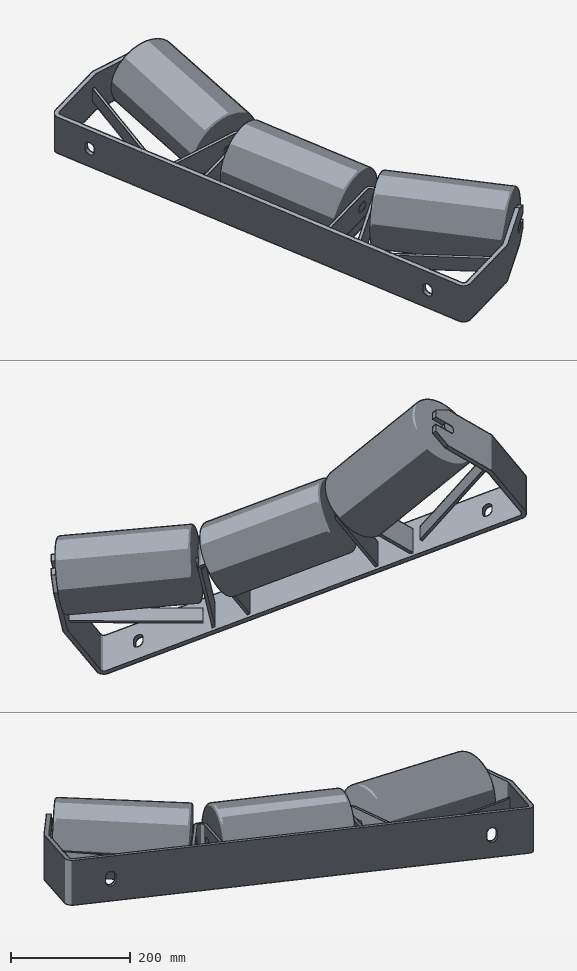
import cadquery as cq
import math

FRAME_LENGTH = 820.0
BAR_HEIGHT = 80.0
BAR_THICKNESS = 8.0
BEND_RADIUS = 14.0
ARM_BEND_Y = 126.0
ARM_TIP_Y = 244.0
TIP_WIDTH = 47.0
TIP_CHAMFER_LENGTH = 27.0
SLOT_WIDTH = 16.0
MOUNT_HOLE_X = 334.0
MOUNT_HOLE_WIDTH = 18.0
MOUNT_HOLE_HEIGHT = 26.0

TROUGH_ANGLE = 20.0
ROLLER_DIAMETER = 133.0
ROLLER_LENGTH = 230.5
ROLLER_FILLET = 5.0
SHAFT_DIAMETER = 20.5
SHAFT_FLAT_CLEARANCE = 0.65
SHAFT_FLATS = SLOT_WIDTH - SHAFT_FLAT_CLEARANCE
AXIS_DROP = 7.0
MIDDLE_AXIS_Y = 125.5
SIDE_ROLLER_X = 258.0
SIDE_ROLLER_Y = 174.0

HANGER_THICKNESS = 5.3
HANGER_BEND_RADIUS = 11.5
HANGER_X = 120.0
HANGER_TOP_Y = 153.0
HANGER_HEIGHT = 53.0

STRUT_THICKNESS = 5.0
STRUT_HEIGHT = 29.5
STRUT_ANGLE = 29.5
STRUT_FOOT_X = 210.0

SIDES = (-1, 1)
LEAN_SIN = math.sin(math.radians(TROUGH_ANGLE))
LEAN_COS = math.cos(math.radians(TROUGH_ANGLE))
LEAN_TAN = math.tan(math.radians(TROUGH_ANGLE))
HALF_LEAN_TAN = math.tan(math.radians(TROUGH_ANGLE / 2))

side_x = -FRAME_LENGTH / 2
arm_foot_y = ARM_BEND_Y + BEND_RADIUS * HALF_LEAN_TAN
arm_tip_x = side_x + (ARM_TIP_Y - arm_foot_y) * LEAN_TAN

fold_x = -HANGER_X - HANGER_BEND_RADIUS
fold_y = HANGER_TOP_Y - HANGER_BEND_RADIUS


def distance_along_side_axis(x, y):
    """Distance of a point on the -X side from the middle of the side roller, outwards along its axis."""
    return (SIDE_ROLLER_X + x) * -LEAN_COS + (y - SIDE_ROLLER_Y) * LEAN_SIN


def on_side(body, side):
    """Bodies are made for the -X side; the +X one is the mirror image."""
    return body if side < 0 else body.mirror("YZ")


def make_roller(left_reach, right_reach):
    """Roller along X, centred on the origin; its shaft reaches the given distances to -X and +X."""
    left_end = cq.Workplane("YZ", origin=(-ROLLER_LENGTH / 2, 0, 0))
    barrel = left_end.circle(ROLLER_DIAMETER / 2).extrude(ROLLER_LENGTH)
    barrel = barrel.faces("<X or >X").edges().fillet(ROLLER_FILLET)
    shaft_length = left_reach + right_reach
    shaft = cq.Workplane("YZ").workplane(offset=-left_reach).circle(SHAFT_DIAMETER / 2).extrude(shaft_length)
    between_flats = cq.Workplane("XY").box(2 * shaft_length, 2 * SHAFT_DIAMETER, SHAFT_FLATS)
    return barrel.union(shaft.intersect(between_flats))


def make_middle_roller():
    reach = HANGER_X + HANGER_THICKNESS
    return make_roller(reach, reach).translate((0, MIDDLE_AXIS_Y, -AXIS_DROP))


def make_side_roller():
    """Roller of the -X side, sloping down from the arm slot to the hanger."""
    arm_reach = distance_along_side_axis(side_x, arm_foot_y)
    hanger_reach = HANGER_THICKNESS - HANGER_BEND_RADIUS - distance_along_side_axis(fold_x, fold_y)
    slope = math.degrees(math.asin(AXIS_DROP / (arm_reach + hanger_reach)))
    roller = make_roller(arm_reach, hanger_reach)
    shaft_end = (-arm_reach, 0, 0)
    roller = roller.rotate(shaft_end, (-arm_reach, 1, 0), slope)
    roller = roller.rotate((0, 0, 0), (0, 0, 1), -TROUGH_ANGLE)
    return roller.translate((-SIDE_ROLLER_X, SIDE_ROLLER_Y, 0))


def make_bent_bar():
    outer_bends = [(side_x, 0), (side_x, arm_foot_y)]
    inner_x = side_x + BAR_THICKNESS
    inner_bends = [(inner_x, BAR_THICKNESS), (inner_x, arm_foot_y - BAR_THICKNESS * HALF_LEAN_TAN)]
    outer_tip = (arm_tip_x, ARM_TIP_Y)
    inner_tip = (arm_tip_x + BAR_THICKNESS * LEAN_COS, ARM_TIP_Y - BAR_THICKNESS * LEAN_SIN)
    half = [*outer_bends, outer_tip, inner_tip, *reversed(inner_bends)]
    other_half = [(-x, y) for x, y in reversed(half)]
    bar = cq.Workplane("XY").polyline(half + other_half).close().extrude(BAR_HEIGHT / 2, both=True)
    for bends, radius in ((outer_bends, BEND_RADIUS), (inner_bends, BEND_RADIUS - BAR_THICKNESS)):
        for x, y in bends:
            for side in SIDES:
                bend_edge = cq.selectors.NearestToPointSelector((-side * x, y, 0))
                bar = bar.edges("|Z").edges(bend_edge).fillet(radius)
    return bar


def make_arm_cutter():
    """Waste at the -X arm tip: two corner chamfers and the open shaft slot."""
    arm_plane = cq.Plane(
        origin=(arm_tip_x, ARM_TIP_Y, 0),
        xDir=(LEAN_SIN, LEAN_COS, 0),
        normal=(-LEAN_COS, LEAN_SIN, 0),
    )
    depth = 2 * BAR_THICKNESS
    half_height = BAR_HEIGHT / 2
    chamfer = (
        cq.Workplane(arm_plane)
        .polyline([(-TIP_CHAMFER_LENGTH, half_height), (0, half_height), (0, TIP_WIDTH / 2)])
        .close()
        .extrude(depth, both=True)
    )
    axis_y_at_arm = SIDE_ROLLER_Y + LEAN_SIN * distance_along_side_axis(side_x, arm_foot_y)
    flat_half_length = math.sqrt(SHAFT_DIAMETER**2 - SLOT_WIDTH**2) / 2
    axis_depth = (ARM_TIP_Y - axis_y_at_arm) / LEAN_COS
    straight_depth = axis_depth + flat_half_length
    full_depth = axis_depth + SHAFT_DIAMETER / 2
    slot = (
        cq.Workplane(arm_plane)
        .moveTo(0, SLOT_WIDTH / 2)
        .lineTo(-straight_depth, SLOT_WIDTH / 2)
        .threePointArc((-full_depth, 0), (-straight_depth, -SLOT_WIDTH / 2))
        .lineTo(0, -SLOT_WIDTH / 2)
        .close()
        .extrude(depth, both=True)
    )
    return slot.union(chamfer).union(chamfer.mirror("XY"))


def make_mount_hole():
    return (
        cq.Workplane("XZ")
        .center(-MOUNT_HOLE_X, 0)
        .slot2D(MOUNT_HOLE_HEIGHT, MOUNT_HOLE_WIDTH, 90)
        .extrude(-BAR_THICKNESS)
    )


def make_frame(side_roller):
    frame = make_bent_bar()
    cutters = [make_arm_cutter(), make_mount_hole(), side_roller]
    for cutter in cutters:
        for side in SIDES:
            frame = frame.cut(on_side(cutter, side))
    return frame


def make_hanger(middle_roller, side_roller):
    """Folded plate of the -X side: an upright leg and a leg square to the side roller."""

    def fold_end(radius):
        return (fold_x - radius * LEAN_COS, fold_y + radius * LEAN_SIN)

    def leg_foot(radius):
        x, y = fold_end(radius)
        return (x - (y - BAR_THICKNESS) * LEAN_TAN, BAR_THICKNESS)

    outer = HANGER_BEND_RADIUS
    inner = outer - HANGER_THICKNESS
    plate = (
        cq.Workplane("XY", origin=(0, 0, -AXIS_DROP))
        .moveTo(fold_x + outer, BAR_THICKNESS)
        .lineTo(fold_x + outer, fold_y)
        .threePointArc((fold_x, fold_y + outer), fold_end(outer))
        .lineTo(*leg_foot(outer))
        .lineTo(*leg_foot(inner))
        .lineTo(*fold_end(inner))
        .threePointArc((fold_x, fold_y + inner), (fold_x + inner, fold_y))
        .lineTo(fold_x + inner, BAR_THICKNESS)
        .close()
        .extrude(HANGER_HEIGHT / 2, both=True)
    )
    return plate.cut(middle_roller).cut(side_roller)


def make_strut():
    """Flat brace of the -X side: a square-cut foot corner on the back, trimmed by the frame side."""
    length = FRAME_LENGTH / 2 - STRUT_FOOT_X
    strut = (
        cq.Workplane("XY")
        .rect(2 * length, STRUT_THICKNESS, centered=False)
        .extrude(STRUT_HEIGHT / 2, both=True)
        .translate((-2 * length, 0, 0))
        .rotate((0, 0, 0), (0, 0, 1), -STRUT_ANGLE)
        .translate((-STRUT_FOOT_X, BAR_THICKNESS, 0))
    )
    inside = cq.Workplane("XY").box(FRAME_LENGTH - 2 * BAR_THICKNESS, FRAME_LENGTH, BAR_HEIGHT)
    return strut.intersect(inside)


middle_roller = make_middle_roller()
side_roller = make_side_roller()
frame = make_frame(side_roller)
hanger = make_hanger(middle_roller, side_roller)
strut = make_strut()

paired_bodies = [on_side(body, side).val() for body in (side_roller, hanger, strut) for side in SIDES]
result = cq.Compound.makeCompound([frame.val(), middle_roller.val(), *paired_bodies])